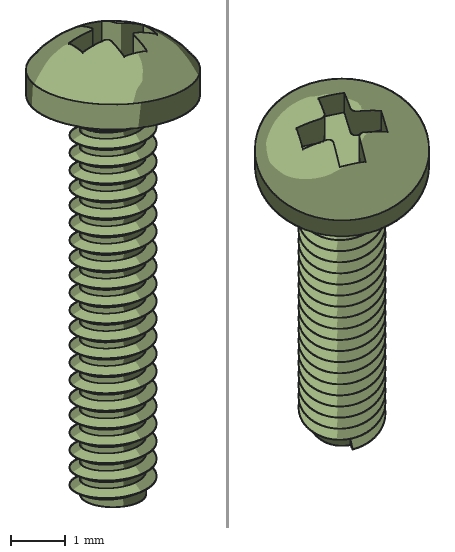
import cadquery as cq
import math

shank_length = 8.0
core_diameter = 1.22
thread_diameter = 1.6
thread_pitch = 0.35
flank_angle = 30.0
crest_width = 0.01
thread_overlap = 0.02
thread_start_angle = 180.0

head_diameter = 3.2
head_rim_height = 0.5
dome_radius = 2.0

recess_span = 1.6
recess_slot_width = 0.49
recess_corner_radius = 0.1
recess_floor_height = 0.5

core_radius = core_diameter / 2
thread_radius = thread_diameter / 2
head_radius = head_diameter / 2
dome_height = dome_radius - math.sqrt(dome_radius**2 - head_radius**2)
head_height = head_rim_height + dome_height


def make_core():
    """Plain cylinder under the thread, running from the tip to the head."""
    return cq.Workplane("XY").circle(core_radius).extrude(shank_length)


def make_head():
    """Cylindrical rim topped by a spherical cap, revolved about Z."""
    rim_top = shank_length + head_rim_height
    apex = shank_length + head_height
    sphere_center = apex - dome_radius
    half_cap_angle = math.asin(head_radius / dome_radius) / 2
    arc_middle = (
        dome_radius * math.sin(half_cap_angle),
        sphere_center + dome_radius * math.cos(half_cap_angle),
    )
    return (
        cq.Workplane("XZ")
        .moveTo(0, shank_length)
        .lineTo(head_radius, shank_length)
        .lineTo(head_radius, rim_top)
        .threePointArc(arc_middle, (0, apex))
        .close()
        .revolve(360, (0, 0), (0, 1))
    )


def make_thread():
    """Single helical V ridge whose lower edge starts at the tip and ends inside the head."""
    flank_height = thread_radius - core_radius + thread_overlap
    flank_rise = flank_height * math.tan(math.radians(flank_angle))
    inner_radius = core_radius - thread_overlap
    profile = (
        cq.Workplane("XZ")
        .moveTo(inner_radius, 0)
        .lineTo(thread_radius, flank_rise)
        .lineTo(thread_radius, flank_rise + crest_width)
        .lineTo(inner_radius, 2 * flank_rise + crest_width)
        .close()
    )
    helix = cq.Wire.makeHelix(thread_pitch, shank_length, core_radius)
    ridge = profile.sweep(cq.Workplane(helix), isFrenet=True)
    return ridge.rotate((0, 0, 0), (0, 0, 1), thread_start_angle)


def make_recess():
    """Cross-shaped cutter with rounded inner corners, reaching above the dome."""
    cutter_height = head_height - recess_floor_height
    floor = cq.Workplane("XY", origin=(0, 0, shank_length + recess_floor_height))
    cross = floor.rect(recess_span, recess_slot_width).extrude(cutter_height)
    cross = cross.union(floor.rect(recess_slot_width, recess_span).extrude(cutter_height))
    inner_half = recess_slot_width / 2 + recess_corner_radius
    inner_corners = cq.selectors.BoxSelector(
        (-inner_half, -inner_half, shank_length),
        (inner_half, inner_half, shank_length + 2 * head_height),
    )
    return cross.edges("|Z").edges(inner_corners).fillet(recess_corner_radius)


screw_blank = make_core().union(make_head()).cut(make_recess())
result = screw_blank.union(make_thread(), clean=False)